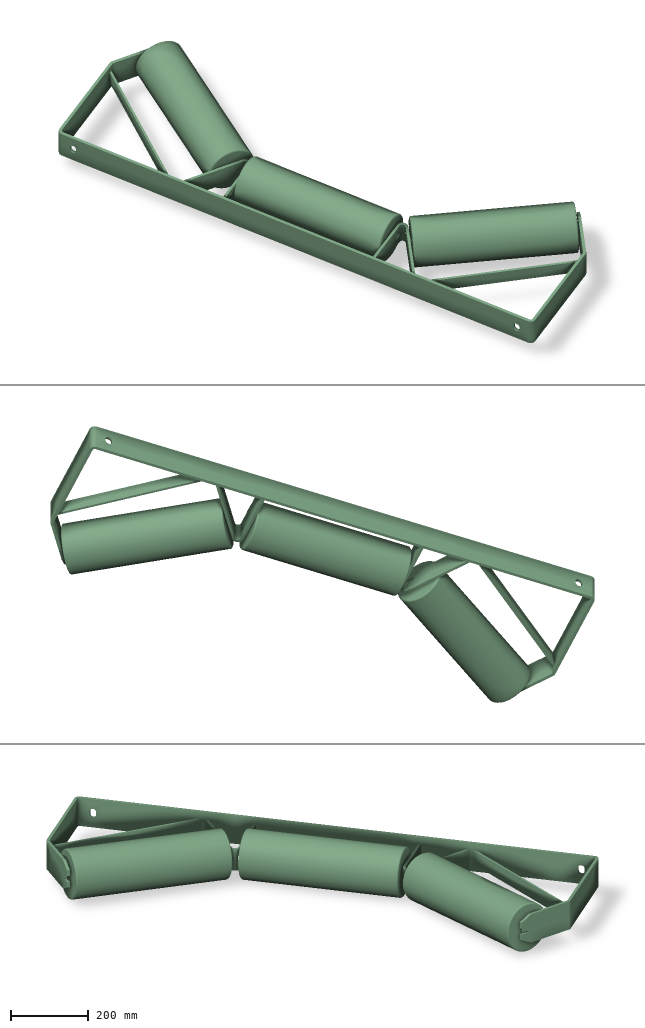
import cadquery as cq
import math

FRAME_WIDTH = 80.0
FRAME_THICKNESS = 8.0
FRAME_BEND_RADIUS = 14.0
FRAME_LENGTH = 1400.0
TROUGH_ANGLE = 35.0
ARM_BEND_Y = 285.0
ARM_LENGTH = 161.0
ARM_TIP_CUT_LENGTH = 31.0
ARM_TIP_CUT_DROP = 15.0
MOUNT_HOLE_X = 652.0
MOUNT_HOLE_WIDTH = 18.0
MOUNT_HOLE_HEIGHT = 25.0

BRACKET_WIDTH = 60.0
BRACKET_THICKNESS = 7.0
BRACKET_BEND_RADIUS = 15.0
BRACKET_FACE_X = 217.0
BRACKET_APEX_Y = 202.0

BRACE_WIDTH = 39.0
BRACE_THICKNESS = 6.0
BRACE_FOOT_X = 364.0
BRACE_HEAD_Y = 276.0

ROLLER_DIAMETER = 133.0
ROLLER_LENGTH = 427.0
ROLLER_EDGE_RADIUS = 4.0
SHAFT_DIAMETER = 20.0
SHAFT_FLAT_HEIGHT = 17.0
SLOT_LENGTH = 70.0
CENTRE_ROLLER_Y = 127.0
CENTRE_ROLLER_Z = -8.0
SIDE_SHAFT_DISTANCE = 132.0
FORWARD_TILT = 1.0

SIDES = (-1, 1)
HALF_LENGTH = FRAME_LENGTH / 2
TROUGH = math.radians(TROUGH_ANGLE)
TILT = math.radians(FORWARD_TILT)
SIN = math.sin(TROUGH)
COS = math.cos(TROUGH)

INCLINE_RUN = HALF_LENGTH - BRACKET_FACE_X
INCLINE_RISE = ARM_BEND_Y - BRACKET_APEX_Y
BRACKET_TO_ARM = INCLINE_RUN * COS + INCLINE_RISE * SIN
SIDE_SHAFT_LENGTH = BRACKET_TO_ARM + BRACKET_THICKNESS
CENTRE_SHAFT_LENGTH = 2 * (BRACKET_FACE_X + BRACKET_THICKNESS)
SIDE_ROLLER_INSET = (BRACKET_TO_ARM + FRAME_THICKNESS) / 2
SIDE_ROLLER_X = HALF_LENGTH - SIDE_SHAFT_DISTANCE * SIN - SIDE_ROLLER_INSET * COS
SIDE_ROLLER_Y = ARM_BEND_Y + SIDE_SHAFT_DISTANCE * COS - SIDE_ROLLER_INSET * SIN
SIDE_ROLLER_Z = CENTRE_ROLLER_Z + ROLLER_LENGTH / 2 * math.sin(TILT)


def mirrored(points, side):
    return [(side * x, y) for x, y in points]


def centre_roller_plane():
    """Local Z along the shaft, local X towards the slot openings."""
    return cq.Plane(origin=(0, CENTRE_ROLLER_Y, CENTRE_ROLLER_Z), xDir=(0, 1, 0), normal=(1, 0, 0))


def side_roller_plane(side):
    """Local Z along the shaft towards the arm, local X towards the slot openings."""
    return cq.Plane(
        origin=(side * SIDE_ROLLER_X, SIDE_ROLLER_Y, SIDE_ROLLER_Z),
        xDir=(-side * SIN, COS, 0),
        normal=(side * COS * math.cos(TILT), SIN * math.cos(TILT), math.sin(TILT)),
    )


def make_roller(plane, shaft_start, shaft_length):
    shell = (
        cq.Workplane(plane)
        .workplane(offset=-ROLLER_LENGTH / 2)
        .circle(ROLLER_DIAMETER / 2)
        .extrude(ROLLER_LENGTH)
        .edges("%CIRCLE")
        .fillet(ROLLER_EDGE_RADIUS)
    )
    shaft_end = cq.Workplane(plane).workplane(offset=shaft_start)
    shaft = shaft_end.circle(SHAFT_DIAMETER / 2).extrude(shaft_length)
    flats = shaft_end.rect(SHAFT_DIAMETER, SHAFT_FLAT_HEIGHT).extrude(shaft_length)
    return shell.union(shaft.intersect(flats))


def make_slot_cutter(plane, shaft_start, shaft_length):
    """Slots at both shaft ends, running from the shaft axis to the strip ends."""
    return (
        cq.Workplane(plane)
        .workplane(offset=shaft_start)
        .center(SLOT_LENGTH / 2, 0)
        .rect(SLOT_LENGTH, SHAFT_FLAT_HEIGHT)
        .extrude(shaft_length)
    )


def make_strip(outline, width, inner_bends, inner_radius, outer_bends, outer_radius):
    """Extrude a strip's edge-on outline about Z = 0 and round its bends."""
    strip = cq.Workplane("XY").workplane(offset=-width / 2).polyline(outline).close().extrude(width)
    for bends, radius in ((inner_bends, inner_radius), (outer_bends, outer_radius)):
        for x, y in bends:
            strip = strip.edges("|Z").edges(cq.selectors.NearestToPointSelector((x, y, 0))).fillet(radius)
    return strip


def make_arm_tip_cutter(side):
    """Two wedges that cut the corners off an arm tip."""
    tip = (side * (HALF_LENGTH - ARM_LENGTH * SIN), ARM_BEND_Y + ARM_LENGTH * COS, 0)
    plane = cq.Plane(origin=tip, xDir=(-side * SIN, COS, 0), normal=(side * COS, SIN, 0))
    cutter = cq.Workplane(plane)
    for edge in (-1, 1):
        corner = edge * FRAME_WIDTH / 2
        wedge = [(-ARM_TIP_CUT_LENGTH, corner), (0, corner), (0, corner - edge * ARM_TIP_CUT_DROP)]
        cutter = cutter.union(
            cq.Workplane(plane).polyline(wedge).close().extrude(2 * FRAME_THICKNESS, both=True)
        )
    return cutter


def make_frame():
    inner_x = HALF_LENGTH - FRAME_THICKNESS
    tip = (HALF_LENGTH - ARM_LENGTH * SIN, ARM_BEND_Y + ARM_LENGTH * COS)
    inner_tip = (tip[0] - FRAME_THICKNESS * COS, tip[1] - FRAME_THICKNESS * SIN)
    outer_bends = [(HALF_LENGTH, 0), (HALF_LENGTH, ARM_BEND_Y)]
    inner_bends = [
        (inner_x, ARM_BEND_Y - FRAME_THICKNESS * math.tan(TROUGH / 2)),
        (inner_x, FRAME_THICKNESS),
    ]
    half = outer_bends + [tip, inner_tip] + inner_bends
    frame = make_strip(
        half + mirrored(half[::-1], -1),
        FRAME_WIDTH,
        inner_bends + mirrored(inner_bends, -1),
        FRAME_BEND_RADIUS - FRAME_THICKNESS,
        outer_bends + mirrored(outer_bends, -1),
        FRAME_BEND_RADIUS,
    )
    for side in SIDES:
        frame = frame.cut(make_arm_tip_cutter(side))
    mount_holes = (
        cq.Workplane("XZ")
        .pushPoints([(side * MOUNT_HOLE_X, 0) for side in SIDES])
        .slot2D(MOUNT_HOLE_HEIGHT, MOUNT_HOLE_WIDTH, 90)
        .extrude(-FRAME_THICKNESS)
    )
    return frame.cut(mount_holes)


def make_bracket(side):
    """Strip folded over the apex, with an upright leg and an inclined leg."""
    inclined_width = BRACKET_THICKNESS / COS
    foot_x = BRACKET_FACE_X + (BRACKET_APEX_Y - FRAME_THICKNESS) * math.tan(TROUGH)
    inner_apex_y = BRACKET_APEX_Y - (BRACKET_THICKNESS + inclined_width) / math.tan(TROUGH)
    apex = (BRACKET_FACE_X, BRACKET_APEX_Y)
    inner_apex = (BRACKET_FACE_X + BRACKET_THICKNESS, inner_apex_y)
    outline = [
        (BRACKET_FACE_X, FRAME_THICKNESS),
        apex,
        (foot_x, FRAME_THICKNESS),
        (foot_x - inclined_width, FRAME_THICKNESS),
        inner_apex,
        (BRACKET_FACE_X + BRACKET_THICKNESS, FRAME_THICKNESS),
    ]
    bracket = make_strip(
        mirrored(outline, side),
        BRACKET_WIDTH,
        mirrored([inner_apex], side),
        BRACKET_BEND_RADIUS - BRACKET_THICKNESS,
        mirrored([apex], side),
        BRACKET_BEND_RADIUS,
    )
    return bracket.translate((0, 0, (BRACKET_WIDTH - FRAME_WIDTH) / 2))


def make_brace(side):
    head_x = HALF_LENGTH - FRAME_THICKNESS
    slope = math.atan2(BRACE_HEAD_Y - FRAME_THICKNESS, head_x - BRACE_FOOT_X)
    outline = [
        (BRACE_FOOT_X, FRAME_THICKNESS),
        (head_x, BRACE_HEAD_Y),
        (head_x, BRACE_HEAD_Y - BRACE_THICKNESS / math.cos(slope)),
        (BRACE_FOOT_X + BRACE_THICKNESS / math.sin(slope), FRAME_THICKNESS),
    ]
    sketch_plane = cq.Workplane("XY").workplane(offset=-BRACE_WIDTH / 2)
    return sketch_plane.polyline(mirrored(outline, side)).close().extrude(BRACE_WIDTH)


centre_shaft = (centre_roller_plane(), -CENTRE_SHAFT_LENGTH / 2, CENTRE_SHAFT_LENGTH)
centre_roller = make_roller(*centre_shaft)
side_shafts = [
    (side_roller_plane(side), SIDE_ROLLER_INSET - SIDE_SHAFT_LENGTH, SIDE_SHAFT_LENGTH) for side in SIDES
]
side_rollers = [make_roller(*shaft) for shaft in side_shafts]

frame = make_frame()
for shaft, roller in zip(side_shafts, side_rollers):
    frame = frame.cut(make_slot_cutter(*shaft)).cut(roller)

brackets = []
for side, shaft, roller in zip(SIDES, side_shafts, side_rollers):
    bracket = make_bracket(side)
    bracket = bracket.cut(make_slot_cutter(*centre_shaft)).cut(centre_roller)
    bracket = bracket.cut(make_slot_cutter(*shaft)).cut(roller)
    brackets.append(bracket)

braces = [make_brace(side) for side in SIDES]

bodies = [frame, centre_roller] + side_rollers + brackets + braces
result = cq.Compound.makeCompound([body.val() for body in bodies])